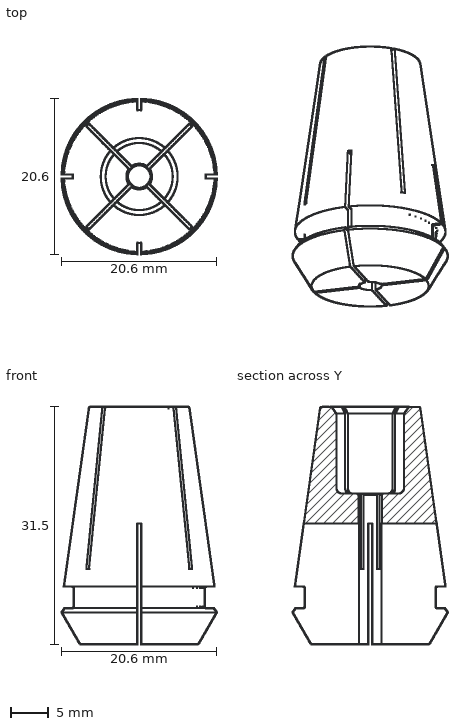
import cadquery as cq
import math

total_height = 31.5
main_taper_angle = 8.0
main_taper_base_radius = 10.0
nose_round = 0.3

flange_radius = 10.3
flange_widest_z = 4.25
flange_top_z = 4.8
flange_top_radius = 9.9
clamp_cone_angle = 30.0
base_chamfer = 0.2
groove_radius = 8.7
groove_top_z = 7.65
groove_fillet = 0.2

clamp_hole_diameter = 3.0
clamp_hole_chamfer = 0.2
relief_radius = 4.45
relief_floor_z = 20.0
relief_floor_fillet = 0.75
mouth_radius = 5.1
mouth_chamfer_depth = 0.93

slot_width = 0.5
slots_per_end = 4
base_slot_top_z = 16.0
nose_slot_floor_z = 10.0
base_slot_start_angle = 0.0
nose_slot_start_angle = base_slot_start_angle + 180 / slots_per_end


def make_body():
    """Revolved outside shape, without the bore or the slots."""
    nose_radius = main_taper_base_radius - (total_height - groove_top_z) * math.tan(
        math.radians(main_taper_angle)
    )
    base_radius = flange_radius - (flange_widest_z - base_chamfer) * math.tan(
        math.radians(clamp_cone_angle)
    )
    profile = (
        cq.Workplane("XZ")
        .moveTo(0, 0)
        .lineTo(base_radius - base_chamfer, 0)
        .lineTo(base_radius, base_chamfer)
        .lineTo(flange_radius, flange_widest_z)
        .lineTo(flange_top_radius, flange_top_z)
        .lineTo(groove_radius + groove_fillet, flange_top_z)
        .radiusArc((groove_radius, flange_top_z + groove_fillet), groove_fillet)
        .lineTo(groove_radius, groove_top_z - groove_fillet)
        .radiusArc((groove_radius + groove_fillet, groove_top_z), groove_fillet)
        .lineTo(main_taper_base_radius, groove_top_z)
        .lineTo(nose_radius, total_height)
        .lineTo(0, total_height)
        .close()
    )
    body = profile.revolve(360, (0, 0, 0), (0, 1, 0))
    return body.faces(">Z").edges().fillet(nose_round)


def make_bore():
    """Through hole, round-bottomed relief and chamfered mouth as one cutter."""
    hole_radius = clamp_hole_diameter / 2
    profile = (
        cq.Workplane("XZ")
        .moveTo(0, 0)
        .lineTo(hole_radius, 0)
        .lineTo(hole_radius, relief_floor_z - clamp_hole_chamfer)
        .lineTo(hole_radius + clamp_hole_chamfer, relief_floor_z)
        .lineTo(relief_radius - relief_floor_fillet, relief_floor_z)
        .radiusArc((relief_radius, relief_floor_z + relief_floor_fillet), -relief_floor_fillet)
        .lineTo(relief_radius, total_height - mouth_chamfer_depth)
        .lineTo(mouth_radius, total_height)
        .lineTo(0, total_height)
        .close()
    )
    return profile.revolve(360, (0, 0, 0), (0, 1, 0))


def cut_slots(body, bottom_z, top_z, start_angle):
    """Cut radial slots, evenly spaced round the axis, from the axis out through the outside."""
    blade = cq.Workplane("XY", origin=(0, 0, bottom_z)).box(
        2 * flange_radius, slot_width, top_z - bottom_z, centered=(False, True, False)
    )
    for index in range(slots_per_end):
        angle = start_angle + index * 360 / slots_per_end
        body = body.cut(blade.rotate((0, 0, 0), (0, 0, 1), angle))
    return body


body = make_body().cut(make_bore())
body = cut_slots(body, 0, base_slot_top_z, base_slot_start_angle)
result = cut_slots(body, nose_slot_floor_z, total_height, nose_slot_start_angle)